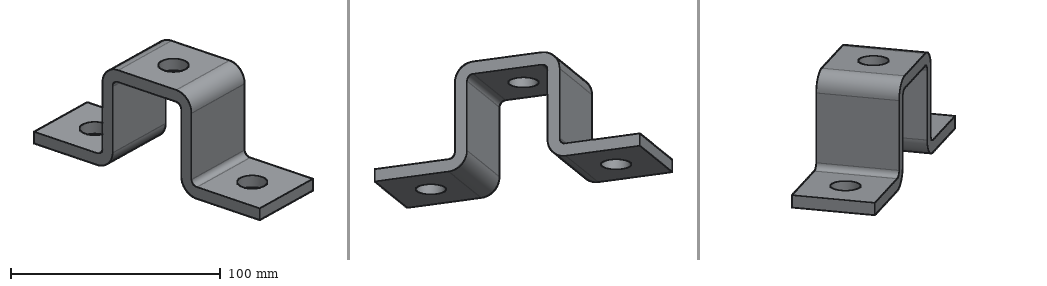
import cadquery as cq

length = 136.5
width = 41.2
height = 53.9
hat_width = 53.9
thickness = 6.3
inner_radius = 3.1
hole_diameter = 14.5

outer_radius = inner_radius + thickness
half_length = length / 2
hat_outer = hat_width / 2
hat_inner = hat_outer - thickness
hole_spacing = half_length - width / 2


def bend_edges(strip, x, z):
    """Select the Y-direction edges at profile corners (+x, z) and (-x, z)."""
    corners = [cq.Vector(side * x, 0, z) for side in (-1, 1)]
    return strip.edges("|Y").filter(
        lambda edge: any((edge.Center() - corner).Length < thickness / 10 for corner in corners)
    )


def bent_strip():
    """Hat-shaped strip with constant thickness around its four bends."""
    strip = (
        cq.Workplane("XZ")
        .moveTo(-half_length, 0)
        .lineTo(-hat_inner, 0)
        .lineTo(-hat_inner, height - thickness)
        .lineTo(hat_inner, height - thickness)
        .lineTo(hat_inner, 0)
        .lineTo(half_length, 0)
        .lineTo(half_length, thickness)
        .lineTo(hat_outer, thickness)
        .lineTo(hat_outer, height)
        .lineTo(-hat_outer, height)
        .lineTo(-hat_outer, thickness)
        .lineTo(-half_length, thickness)
        .close()
        .extrude(width / 2, both=True)
    )
    for x, z in ((hat_inner, 0), (hat_outer, height)):
        strip = bend_edges(strip, x, z).fillet(outer_radius)
    for x, z in ((hat_outer, thickness), (hat_inner, height - thickness)):
        strip = bend_edges(strip, x, z).fillet(inner_radius)
    return strip


holes = (
    cq.Workplane("XY")
    .pushPoints([(-hole_spacing, 0), (0, 0), (hole_spacing, 0)])
    .circle(hole_diameter / 2)
    .extrude(height)
)

result = bent_strip().cut(holes)